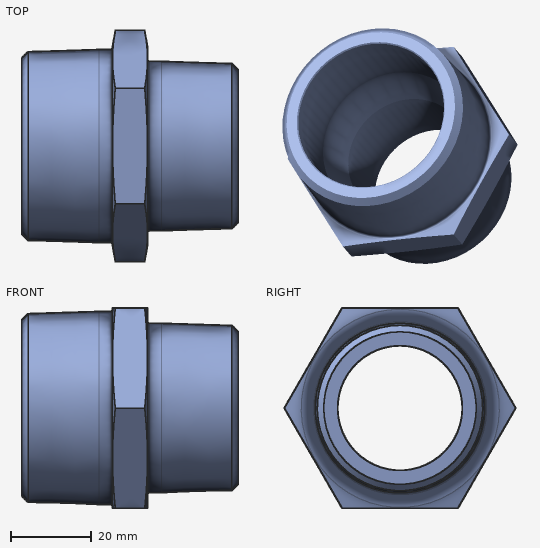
import cadquery as cq
import math

total_length = 54.0
hex_width = 8.8
hex_across_flats = 50.0
thread_length = (total_length - hex_width) / 2
hex_start = thread_length
hex_end = hex_start + hex_width

large_diameter = 48.2
small_diameter = 42.31
collar_length = 3.4
thread_taper = 1 / 16
end_chamfer = 1.6
root_fillet = 0.4

hex_chamfer_diameter = 49.4
hex_chamfer_angle = 10.0
envelope_margin = 1.0

large_bore_diameter = 38.0
small_bore_diameter = 31.0
large_bore_depth = 21.3
bore_cone_length = 10.0
bore_edge_chamfer = 0.3


def revolve_about_x(profile):
    """Revolve a closed XZ profile, with Z as the radius, about the X axis."""
    return profile.close().revolve(360, (0, 0, 0), (1, 0, 0))


def pipe_end(diameter):
    """Chamfered tapered end with its tip at X = 0 and its root at the hexagon."""
    collar_radius = diameter / 2
    taper_end = thread_length - collar_length
    taper_run = taper_end - end_chamfer
    thread_tip_radius = collar_radius - taper_run * thread_taper / 2
    fillet_midpoint = root_fillet * (1 - math.sqrt(0.5))
    profile = (
        cq.Workplane("XZ")
        .lineTo(0, thread_tip_radius - end_chamfer)
        .lineTo(end_chamfer, thread_tip_radius)
        .lineTo(taper_end, collar_radius)
        .lineTo(thread_length - root_fillet, collar_radius)
        .threePointArc(
            (thread_length - fillet_midpoint, collar_radius + fillet_midpoint),
            (thread_length, collar_radius + root_fillet),
        )
        .lineTo(thread_length, 0)
    )
    return revolve_about_x(profile)


def hexagon():
    """Wrench hexagon with flats at +Z and -Z and conically chamfered corners."""
    across_corners = hex_across_flats / math.cos(math.pi / 6)
    prism = (
        cq.Workplane("YZ")
        .workplane(offset=hex_start)
        .polygon(6, across_corners)
        .extrude(hex_width)
    )
    face_radius = hex_chamfer_diameter / 2
    envelope_radius = across_corners / 2 + envelope_margin
    cone_depth = (envelope_radius - face_radius) * math.tan(math.radians(hex_chamfer_angle))
    envelope = (
        cq.Workplane("XZ")
        .moveTo(hex_start, 0)
        .lineTo(hex_start, face_radius)
        .lineTo(hex_start + cone_depth, envelope_radius)
        .lineTo(hex_end - cone_depth, envelope_radius)
        .lineTo(hex_end, face_radius)
        .lineTo(hex_end, 0)
    )
    return prism.intersect(revolve_about_x(envelope))


def bore():
    """Through bore: wide cylinder, cone, narrow cylinder, with a broken edge at the wide mouth."""
    large_radius = large_bore_diameter / 2
    small_radius = small_bore_diameter / 2
    profile = (
        cq.Workplane("XZ")
        .lineTo(0, large_radius + bore_edge_chamfer)
        .lineTo(bore_edge_chamfer, large_radius)
        .lineTo(large_bore_depth, large_radius)
        .lineTo(large_bore_depth + bore_cone_length, small_radius)
        .lineTo(total_length, small_radius)
        .lineTo(total_length, 0)
    )
    return revolve_about_x(profile)


large_end = pipe_end(large_diameter)
small_end = pipe_end(small_diameter).mirror("YZ").translate((total_length, 0, 0))
result = large_end.union(hexagon()).union(small_end).cut(bore())